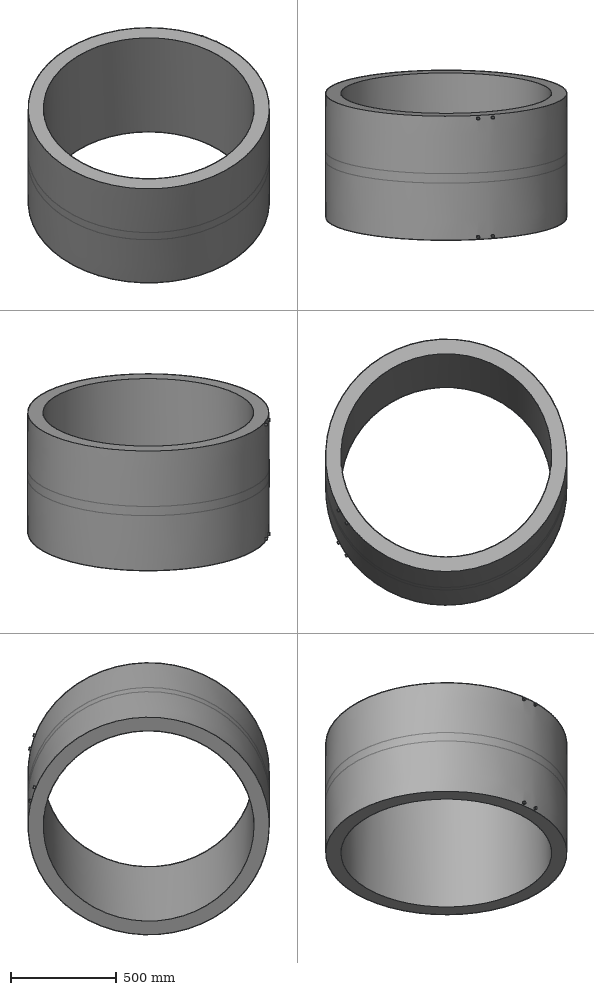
import cadquery as cq

outer_diameter = 1149.0
overall_depth = 1155.0
bore_diameter = 1000.0
ring_length = 600.0
band_width = 46.0
crown_drop = 2.0
pin_diameter = 14.0
pin_spacing = 74.0
pin_end_distance = 14.0
pin_embed = 12.0

outer_radius = outer_diameter / 2
bore_radius = bore_diameter / 2
end_radius = outer_radius - crown_drop
half_length = ring_length / 2
half_band = band_width / 2
pin_tip_y = overall_depth - outer_radius

crown_length = half_length - half_band
crown_radius = (crown_length**2 + crown_drop**2) / (2 * crown_drop)
mid_crown_z = half_band + crown_length / 2
mid_crown_radius = outer_radius - crown_radius + (crown_radius**2 - (crown_length / 2) ** 2) ** 0.5


def make_ring():
    """Revolve the wall section: plain bore, crowned outside with a straight band."""
    section = (
        cq.Workplane("XZ")
        .moveTo(bore_radius, -half_length)
        .lineTo(end_radius, -half_length)
        .threePointArc((mid_crown_radius, -mid_crown_z), (outer_radius, -half_band))
        .lineTo(outer_radius, half_band)
        .threePointArc((mid_crown_radius, mid_crown_z), (end_radius, half_length))
        .lineTo(bore_radius, half_length)
        .close()
    )
    return section.revolve(360, (0, 0, 0), (0, 1, 0))


def make_pins():
    """Two short pins near each end, pointing along +Y."""
    pin_z_spacing = ring_length - 2 * pin_end_distance
    pin_root_y = end_radius - pin_embed
    return (
        cq.Workplane("XZ", origin=(0, pin_root_y, 0))
        .rarray(pin_spacing, pin_z_spacing, 2, 2)
        .circle(pin_diameter / 2)
        .extrude(pin_root_y - pin_tip_y)
    )


result = make_ring().union(make_pins())